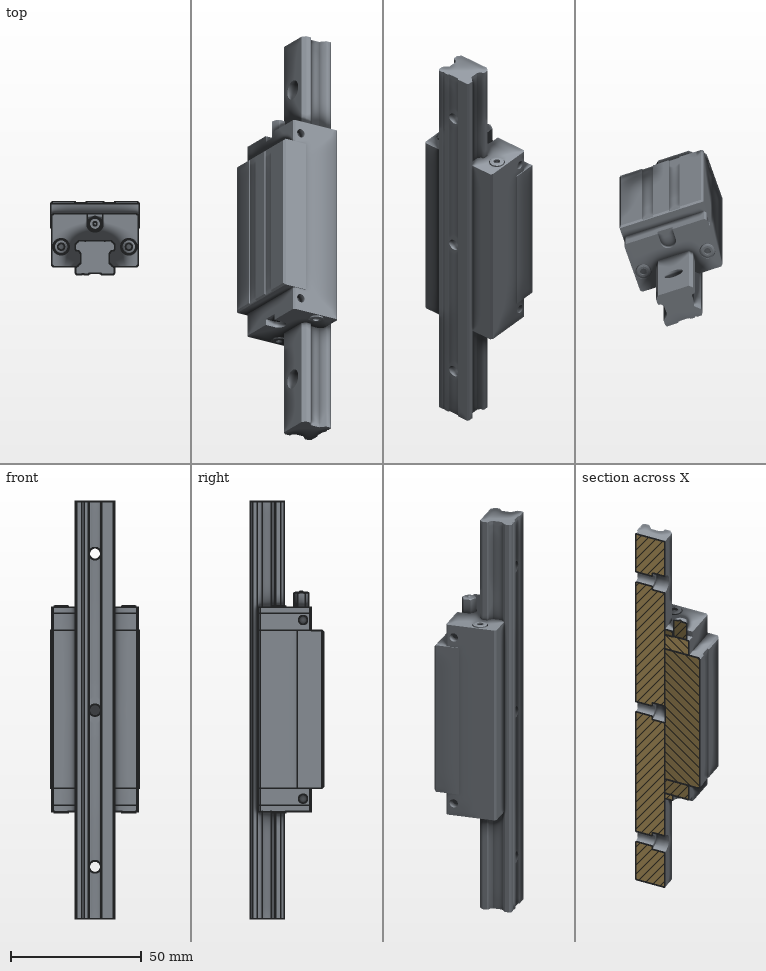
import cadquery as cq
import math


RAIL_LENGTH = 160.0
RAIL_HALF_WIDTH = 7.5
RAIL_HEIGHT = 13.0
HEAD_CHAMFER = 1.3
HEAD_BOTTOM = 9.3
HEAD_BOTTOM_CHAMFER_X = 0.3
HEAD_BOTTOM_CHAMFER_Y = 0.5
LEDGE_HALF_WIDTH = 6.4
NECK_HALF_WIDTH = 5.5
NECK_TOP = 8.0
NECK_TOP_CHAMFER_X = 0.3
NECK_TOP_CHAMFER_Y = 0.5
NECK_BOTTOM = 4.5
FOOT_TOP = 2.5
FOOT_CHAMFER_X = 0.5
FOOT_CHAMFER_Y = 0.8
BASE_GROOVE_HALF_WIDTH = 2.5
BASE_GROOVE_STEP_HALF_WIDTH = 2.2
BASE_GROOVE_STEP_DEPTH = 0.4
BASE_GROOVE_FLOOR_HALF_WIDTH = 1.6
BASE_GROOVE_DEPTH = 0.56
MARK_GROOVE_X = -4.6
MARK_GROOVE_HALF_WIDTH = 0.5
MARK_GROOVE_DEPTH = 0.3
RAIL_HOLE_PITCH = 60.0
RAIL_HOLE_DIAMETER = 4.5
RAIL_COUNTERBORE_DIAMETER = 7.5
RAIL_COUNTERBORE_DEPTH = 5.3

CARRIAGE_CENTER_Z = 0.3
CARRIAGE_BOTTOM = 3.0
BLOCK_LENGTH = 60.5
BLOCK_TOP = 28.0
BLOCK_HALF_WIDTH = 17.0
SHOULDER_HEIGHT = 18.0
TOP_GROOVE_X = 5.5
TOP_GROOVE_WIDTH = 4.3
TOP_GROOVE_DEPTH = 0.5

END_HALF_WIDTH = 16.6
END_TOP = 23.4
EDGE_CHAMFER = 0.72

CAP_THICKNESS = 6.5
SIDE_HOLE_DIAMETER = 3.4
SIDE_HOLE_DEPTH = 3.2
SIDE_HOLE_HEIGHT = 20.2
SIDE_HOLE_TO_BLOCK = 4.0

SEAL_THICKNESS = 2.4
SCREW_X = 13.0
SCREW_HEIGHT = 10.7
SCREW_RECESS_DIAMETER = 6.0
SCREW_RECESS_DEPTH = 0.8
SCREW_HEAD_DIAMETER = 5.5
SCREW_HEAD_RISE = 0.5
SCREW_HEAD_TOP_DIAMETER = 4.2
SCREW_HEAD_CHAMFER_HEIGHT = 0.2
SCREW_SOCKET_DIAMETER = 2.5
SCREW_SOCKET_DEPTH = 1.1

NIPPLE_HEIGHT = 19.5
NIPPLE_DIAMETER = 5.8
NOTCH_DIAMETER = 6.0
NIPPLE_PROJECTION = 5.6
NIPPLE_TOP_DIAMETER = 4.5
NIPPLE_CHAMFER_HEIGHT = 0.3
NIPPLE_BALL_DIAMETER = 1.6
NIPPLE_BALL_RISE = 0.5

BLOCK_END = BLOCK_LENGTH / 2
CAP_END = BLOCK_END + CAP_THICKNESS
SEAL_END = CAP_END + SEAL_THICKNESS


def prism(points, z_start, z_end):
    """Closed XY outline extruded from z_start to z_end."""
    return cq.Workplane("XY").workplane(offset=z_start).polyline(points).close().extrude(z_end - z_start)


def cylinder(x, y, z_start, z_end, diameter):
    """Cylinder along Z."""
    plane = cq.Workplane("XY").workplane(offset=z_start)
    return plane.center(x, y).circle(diameter / 2).extrude(z_end - z_start)


def mirrored_outline(right_points):
    """Points on +X, from bottom to top, followed by their mirror images on -X."""
    return right_points + [(-x, y) for x, y in reversed(right_points)]


def rail_prism():
    """Plain rail section, without grooves or holes."""
    right_side = [
        (RAIL_HALF_WIDTH - FOOT_CHAMFER_X, 0),
        (RAIL_HALF_WIDTH, FOOT_CHAMFER_Y),
        (RAIL_HALF_WIDTH, FOOT_TOP),
        (NECK_HALF_WIDTH, NECK_BOTTOM),
        (NECK_HALF_WIDTH, NECK_TOP),
        (NECK_HALF_WIDTH + NECK_TOP_CHAMFER_X, NECK_TOP + NECK_TOP_CHAMFER_Y),
        (LEDGE_HALF_WIDTH, HEAD_BOTTOM),
        (RAIL_HALF_WIDTH - HEAD_BOTTOM_CHAMFER_X, HEAD_BOTTOM),
        (RAIL_HALF_WIDTH, HEAD_BOTTOM + HEAD_BOTTOM_CHAMFER_Y),
        (RAIL_HALF_WIDTH, RAIL_HEIGHT - HEAD_CHAMFER),
        (RAIL_HALF_WIDTH - HEAD_CHAMFER, RAIL_HEIGHT),
    ]
    return prism(mirrored_outline(right_side), -RAIL_LENGTH / 2, RAIL_LENGTH / 2)


def make_rail():
    rail = rail_prism()

    groove_right_side = [
        (BASE_GROOVE_HALF_WIDTH, 0),
        (BASE_GROOVE_STEP_HALF_WIDTH, BASE_GROOVE_STEP_DEPTH),
        (BASE_GROOVE_FLOOR_HALF_WIDTH, BASE_GROOVE_DEPTH),
    ]
    base_groove = prism(mirrored_outline(groove_right_side), -RAIL_LENGTH / 2, RAIL_LENGTH / 2)

    mark_groove = (
        cq.Workplane("XY", origin=(MARK_GROOVE_X, 0, -RAIL_LENGTH / 2))
        .moveTo(-MARK_GROOVE_HALF_WIDTH, 0)
        .threePointArc((0, MARK_GROOVE_DEPTH), (MARK_GROOVE_HALF_WIDTH, 0))
        .close()
        .extrude(RAIL_LENGTH)
    )
    rail = rail.cut(base_groove).cut(mark_groove)

    top_plane = cq.Workplane("XZ", origin=(0, RAIL_HEIGHT, 0))
    hole_places = [(0, step * RAIL_HOLE_PITCH) for step in (-1, 0, 1)]
    through_holes = top_plane.pushPoints(hole_places).circle(RAIL_HOLE_DIAMETER / 2).extrude(RAIL_HEIGHT)
    counterbores = (
        top_plane.pushPoints(hole_places)
        .circle(RAIL_COUNTERBORE_DIAMETER / 2)
        .extrude(RAIL_COUNTERBORE_DEPTH)
    )
    return rail.cut(through_holes).cut(counterbores)


def make_block():
    right_side = [
        (END_HALF_WIDTH - EDGE_CHAMFER, CARRIAGE_BOTTOM),
        (END_HALF_WIDTH, CARRIAGE_BOTTOM + EDGE_CHAMFER),
        (END_HALF_WIDTH, SHOULDER_HEIGHT),
        (BLOCK_HALF_WIDTH, SHOULDER_HEIGHT),
        (BLOCK_HALF_WIDTH, BLOCK_TOP),
    ]
    block = prism(mirrored_outline(right_side), -BLOCK_END, BLOCK_END)
    block = block.faces(">Y").chamfer(EDGE_CHAMFER)

    for x in (-TOP_GROOVE_X, TOP_GROOVE_X):
        groove = (
            cq.Workplane("XY", origin=(x, BLOCK_TOP, -BLOCK_END))
            .rect(TOP_GROOVE_WIDTH, 2 * TOP_GROOVE_DEPTH)
            .extrude(BLOCK_LENGTH)
        )
        block = block.cut(groove)
    return block.cut(rail_prism())


def end_plate(z_start, z_end):
    """Chamfered plate that straddles the rail."""
    right_side = [
        (END_HALF_WIDTH - EDGE_CHAMFER, CARRIAGE_BOTTOM),
        (END_HALF_WIDTH, CARRIAGE_BOTTOM + EDGE_CHAMFER),
        (END_HALF_WIDTH, END_TOP - EDGE_CHAMFER),
        (END_HALF_WIDTH - EDGE_CHAMFER, END_TOP),
    ]
    return prism(mirrored_outline(right_side), z_start, z_end).cut(rail_prism())


def make_cap():
    """End cap of the +Z end."""
    cap = end_plate(BLOCK_END, CAP_END)
    for side in (-1, 1):
        hole_center = cq.Vector(side * END_HALF_WIDTH, SIDE_HOLE_HEIGHT, BLOCK_END + SIDE_HOLE_TO_BLOCK)
        inward = cq.Vector(-side, 0, 0)
        cap = cap.cut(cq.Solid.makeCylinder(SIDE_HOLE_DIAMETER / 2, SIDE_HOLE_DEPTH, hole_center, inward))
    return cap


def make_seal():
    """End seal of the +Z end, with a nipple notch and two recessed screw heads."""
    notch_slot = (
        cq.Workplane("XY", origin=(0, NIPPLE_HEIGHT, CAP_END))
        .rect(NOTCH_DIAMETER, END_TOP - NIPPLE_HEIGHT, centered=(True, False))
        .extrude(SEAL_THICKNESS)
    )
    notch_round = cylinder(0, NIPPLE_HEIGHT, CAP_END, SEAL_END, NOTCH_DIAMETER)
    seal = end_plate(CAP_END, SEAL_END).cut(notch_slot).cut(notch_round)

    head_top = SEAL_END + SCREW_HEAD_RISE
    chamfer_width = (SCREW_HEAD_DIAMETER - SCREW_HEAD_TOP_DIAMETER) / 2
    recess_floor = SEAL_END - SCREW_RECESS_DEPTH
    for x in (-SCREW_X, SCREW_X):
        recess = cylinder(x, SCREW_HEIGHT, recess_floor, SEAL_END, SCREW_RECESS_DIAMETER)
        head = cylinder(x, SCREW_HEIGHT, recess_floor, head_top, SCREW_HEAD_DIAMETER)
        head = head.faces(">Z").chamfer(SCREW_HEAD_CHAMFER_HEIGHT, chamfer_width)
        socket = cylinder(x, SCREW_HEIGHT, head_top - SCREW_SOCKET_DEPTH, head_top, SCREW_SOCKET_DIAMETER)
        seal = seal.cut(recess).union(head).cut(socket)
    return seal


def make_nipple():
    """Hexagonal grease nipple seated on the end cap, with corners along Y and a ball in its tip."""
    height = SEAL_THICKNESS + NIPPLE_PROJECTION
    top = CAP_END + height
    corners = [
        (
            NIPPLE_DIAMETER / 2 * math.sin(index * math.pi / 3),
            NIPPLE_HEIGHT + NIPPLE_DIAMETER / 2 * math.cos(index * math.pi / 3),
        )
        for index in range(6)
    ]
    envelope = (
        cq.Workplane("XZ", origin=(0, NIPPLE_HEIGHT, CAP_END))
        .moveTo(0, 0)
        .lineTo(NIPPLE_DIAMETER / 2, 0)
        .lineTo(NIPPLE_DIAMETER / 2, height - NIPPLE_CHAMFER_HEIGHT)
        .lineTo(NIPPLE_TOP_DIAMETER / 2, height)
        .lineTo(0, height)
        .close()
        .revolve(360, (0, 0, 0), (0, 1, 0))
    )
    ball_center = top + NIPPLE_BALL_RISE - NIPPLE_BALL_DIAMETER / 2
    ball = cq.Workplane("XY", origin=(0, NIPPLE_HEIGHT, ball_center)).sphere(NIPPLE_BALL_DIAMETER / 2)
    return prism(corners, CAP_END, top).intersect(envelope).union(ball)


rail = make_rail()
block = make_block()
nipple = make_nipple()
carriage_bodies = [block, nipple]

for end_part in (make_cap(), make_seal()):
    carriage_bodies.append(end_part)
    carriage_bodies.append(end_part.mirror("XY"))

placed_bodies = [body.translate((0, 0, CARRIAGE_CENTER_Z)).val() for body in carriage_bodies]

result = cq.Compound.makeCompound([rail.val(), *placed_bodies])